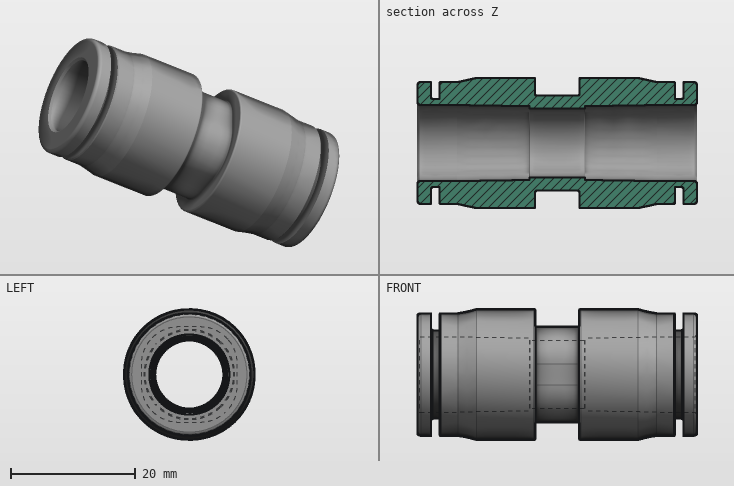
import cadquery as cq
import math

total_length = 45.0
half_length = total_length / 2

collar_radius = 9.85
collar_round = 0.6
collar_end = 2.2
stem_radius = 7.1
stem_chamfer_length = 0.25
stem_chamfer_depth = 0.2

sleeve_start = 3.55
sleeve_chamfer = 0.2
taper_start = 6.52
taper_end = 9.5
body_radius = 21.0 / 2
body_end = 19.0
body_round = 0.25

neck_width = 15.4
neck_root_fillet = 0.2
flat_width = 3.4
neck_edge_radius = (neck_width - flat_width) / 2

mouth_radius = 6.45
mouth_chamfer = 0.35
tube_radius = mouth_radius - mouth_chamfer
collet_depth = 6.45
seat_radius = 5.9
seat_depth = 18.0
through_radius = 5.5
through_chamfer = 0.15


def revolve_about_x(outline):
    """Close a (station, radius) outline and turn it into a solid about the X axis."""
    return outline.close().revolve(360, (0, 0, 0), (1, 0, 0))


def make_outside():
    """Left half of the outer form, solid down to the axis."""
    outline = (
        cq.Workplane("XY")
        .lineTo(0, collar_radius - collar_round)
        .radiusArc((collar_round, collar_radius), collar_round)
        .lineTo(collar_end, collar_radius)
        .lineTo(collar_end, stem_radius + stem_chamfer_depth)
        .lineTo(collar_end + stem_chamfer_length, stem_radius)
        .lineTo(sleeve_start, stem_radius)
        .lineTo(sleeve_start, collar_radius - sleeve_chamfer)
        .lineTo(sleeve_start + sleeve_chamfer, collar_radius)
        .lineTo(taper_start, collar_radius)
        .lineTo(taper_end, body_radius)
        .lineTo(body_end - body_round, body_radius)
        .radiusArc((body_end, body_radius - body_round), body_round)
        .lineTo(body_end, 0)
    )
    return revolve_about_x(outline)


def make_neck():
    """Square bar between the sleeves, rounded until only narrow flats are left."""
    neck_length = total_length - 2 * body_end
    start = cq.Workplane("YZ", origin=(body_end - half_length, 0, 0))
    bar = start.rect(neck_width, neck_width).extrude(neck_length)
    return bar.edges("|X").fillet(neck_edge_radius)


def make_bore():
    """Left half of the bore: mouth chamfer, collet, tapering tube seat, through hole."""
    stations = [
        (0, 0),
        (0, mouth_radius),
        (mouth_chamfer, tube_radius),
        (collet_depth, tube_radius),
        (seat_depth, seat_radius),
        (seat_depth, through_radius + through_chamfer),
        (seat_depth + through_chamfer, through_radius),
        (half_length, through_radius),
        (half_length, 0),
    ]
    return revolve_about_x(cq.Workplane("XY").polyline(stations))


def both_ends(left_part):
    """Move a left-half shape into place and add its mirror image."""
    placed = left_part.translate((-half_length, 0, 0))
    return placed.union(placed.mirror("YZ"))


def is_neck_root(edge):
    """True for the edges where the neck meets the inner wall of a sleeve."""
    tolerance = 0.005
    corner = edge.startPoint()
    on_wall = all(
        abs(abs(point.x) - (half_length - body_end)) < tolerance
        for point in (corner, edge.endPoint())
    )
    return on_wall and math.hypot(corner.y, corner.z) < body_radius - body_round - tolerance


outside = both_ends(make_outside()).union(make_neck())
outside = outside.edges().filter(is_neck_root).fillet(neck_root_fillet)
result = outside.cut(both_ends(make_bore()))